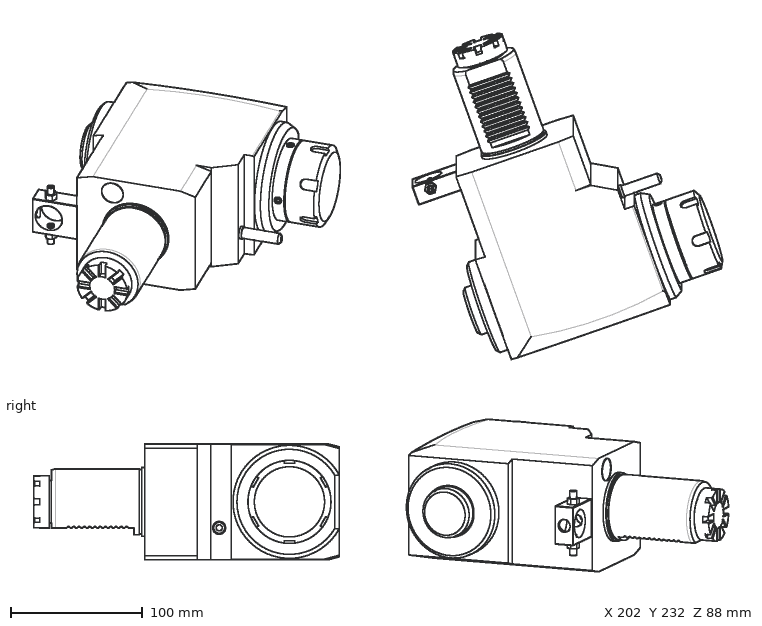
import cadquery as cq
import math


HEIGHT = 88.0
HALF_HEIGHT = HEIGHT / 2
BACK_Y = 147.8
SPINDLE_Y = 110.0
HEAD_FRONT_Y = 66.0
HEAD_LEFT_X = -55.0
HEAD_RIGHT_X = 73.0
BODY_LEFT_X = -47.0
SHOULDER_RIGHT_X = 65.5
SHOULDER_ANGLE = 30
BODY_RIGHT_X = 47.3
BODY_STEP_Y = 40.0
BEVEL_SLOPE = math.tan(math.radians(15))
LEFT_BEVEL_X = -34.5
HEAD_RIGHT_BEVEL_X = 71.5
BODY_RIGHT_BEVEL_X = 35.3
BACK_BEVEL_CENTRE_X = 18.5
BACK_BEVEL_RADIUS = 306.2
BACK_BEVEL_MIDDLE_Y = 139.7
CUT_MARGIN = 23.2

FLANGE_RADIUS = 43.0
FLANGE_STRAIGHT_END_X = 77.7
FLANGE_END_X = 83.5
FLANGE_END_RADIUS = 40.0
FLANGE_BACK_TAPER = 3.5
NECK_END_X = 92.8
NUT_START_X = 93.7
NUT_END_X = 119.2
NUT_RADIUS = 31.5
NUT_GROOVE_RADIUS = 25.3
NUT_CHAMFER_LENGTH = 2.8
NUT_CHAMFER_DEPTH = 4.9
NUT_SLOTS = 6
NUT_SLOT_WIDTH = 8.1
NUT_SLOT_START_X = 104.5
NUT_SLOT_FLOOR = 29.5
SET_SCREW_X = 88.0
SET_SCREW_RADIUS = 2.8
SET_SCREW_SOCKET_RADIUS = 1.5
SET_SCREW_RECESS = 0.7
SET_SCREW_DEPTH = 3.5

COVER_RADIUS = 36.5
COVER_FACE_X = -65.5
HUB_RADIUS = 19.0
HUB_FACE_X = -74.5
COVER_CHAMFER = 2.3
HUB_GROOVE_RADIUS = 20.0
HUB_GROOVE_DEPTH = 1.0

COLLAR_RADIUS = 26.2
COLLAR_LENGTH = 2.3
SHANK_RADIUS = 25.0
SHANK_LENGTH = 70.8
RELIEF_RADIUS = 24.5
RELIEF_END = 4.0
SHANK_CHAMFER_LENGTH = 2.8
SHANK_CHAMFER_DEPTH = 0.7
TIP_GROOVE_RADIUS = 16.2
TIP_GROOVE_LENGTH = 1.6
TIP_RADIUS = 20.0
TIP_END = 84.2
TIP_SLOTS = 8
TIP_SLOT_WIDTH = 4.6
TIP_SLOT_CHAMFER = 0.7
TIP_SLOT_DEPTH = 4.6
TIP_CORE_RADIUS = 10.0
FLAT_Z = -20.0
FLAT_START = 8.1
RACK_NOTCHES = 12
RACK_START = 13.7
RACK_LENGTH = 44.0
RACK_PITCH = RACK_LENGTH / (RACK_NOTCHES - 1)
RACK_NOTCH_WIDTH = 3.2
RACK_NOTCH_DEPTH = 1.5

RECESS_X = -18.8
RECESS_Z = 32.2
RECESS_RADIUS = 8.5
RECESS_DEPTH = 0.5

PIN_Y = 56.5
PIN_Z = -19.7
PIN_RADIUS = 4.2
PIN_END_X = 98.0
PIN_CHAMFER = 1.9
PIN_COLLAR_RADIUS = 4.9
PIN_COLLAR_LENGTH = 1.9

BRACKET_LEFT_X = -82.8
BRACKET_FRONT_Y = 1.0
BRACKET_BACK_Y = 16.0
BRACKET_HALF_HEIGHT = 14.8
BRACKET_CHAMFER = 0.5
BRACKET_BORE_X = -69.8
BRACKET_BORE_RADIUS = 10.7
SIDE_BORE_Y = 8.4
SIDE_BORE_RADIUS = 4.9
COOLANT_PASSAGE_RADIUS = 1.6
COOLANT_PASSAGE_DEPTH = 9.3
NIPPLE_Y = 6.3
NIPPLE_RADIUS = 2.5
NIPPLE_BORE_RADIUS = 1.2
NIPPLE_INNER_Z = 9.0
NIPPLE_OUTER_Z = 24.8
NIPPLE_NUT_FLATS = 8.0
NIPPLE_NUT_TOP_Z = 19.3


def x_rod(radius, start_x, end_x, y, z=0.0):
    """Cylinder along X."""
    return cq.Workplane("YZ", origin=(start_x, y, z)).circle(radius).extrude(end_x - start_x)


def z_rod(radius, x, y, start_z, end_z):
    """Cylinder along Z."""
    return cq.Workplane("XY", origin=(x, y, start_z)).circle(radius).extrude(end_z - start_z)


def turned_on_spindle(profile):
    """Revolve (x, radius) points about the spindle axis."""
    points = [(x, SPINDLE_Y + radius) for x, radius in profile]
    return cq.Workplane("XY").polyline(points).close().revolve(360, (0, SPINDLE_Y), (1, SPINDLE_Y))


def turned_on_shank(profile):
    """Revolve (radius, distance ahead of the front face) points about the shank axis."""
    points = [(radius, -distance) for radius, distance in profile]
    return cq.Workplane("XY").polyline(points).close().revolve(360, (0, 0), (0, 1))


def mirrored_in_z(body):
    return body.union(body.mirror("XY"))


def side_bevel(edge_x, side_x, start_y, end_y):
    """Wedge that slopes the top face down from edge_x to past side_x."""
    outer_x = side_x + math.copysign(CUT_MARGIN, side_x - edge_x)
    drop = abs(outer_x - edge_x) * BEVEL_SLOPE
    wedge = (
        cq.Workplane("XZ", origin=(0, end_y, 0))
        .polyline([(edge_x, HALF_HEIGHT), (outer_x, HALF_HEIGHT), (outer_x, HALF_HEIGHT - drop)])
        .close()
        .extrude(end_y - start_y)
    )
    return mirrored_in_z(wedge)


def back_bevel():
    """Conical ring that slopes the top face down towards the back."""
    outer_radius = BACK_BEVEL_RADIUS + 2 * CUT_MARGIN
    drop = (outer_radius - BACK_BEVEL_RADIUS) * BEVEL_SLOPE
    ring = (
        cq.Workplane("XZ")
        .polyline([
            (BACK_BEVEL_RADIUS, HALF_HEIGHT),
            (outer_radius, HALF_HEIGHT),
            (outer_radius, HALF_HEIGHT - drop),
        ])
        .close()
        .revolve(360, (0, 0), (0, 1))
        .translate((BACK_BEVEL_CENTRE_X, BACK_BEVEL_MIDDLE_Y - BACK_BEVEL_RADIUS, 0))
    )
    return mirrored_in_z(ring)


def housing():
    shoulder_rise = (SHOULDER_RIGHT_X - BODY_RIGHT_X) * math.tan(math.radians(SHOULDER_ANGLE))
    outline = [
        (BODY_LEFT_X, 0),
        (BODY_RIGHT_X, 0),
        (BODY_RIGHT_X, BODY_STEP_Y),
        (SHOULDER_RIGHT_X, BODY_STEP_Y + shoulder_rise),
        (SHOULDER_RIGHT_X, HEAD_FRONT_Y),
        (HEAD_RIGHT_X, HEAD_FRONT_Y),
        (HEAD_RIGHT_X, BACK_Y),
        (HEAD_LEFT_X, BACK_Y),
        (HEAD_LEFT_X, HEAD_FRONT_Y),
        (BODY_LEFT_X, HEAD_FRONT_Y),
    ]
    block = cq.Workplane("XY").polyline(outline).close().extrude(HALF_HEIGHT, both=True)
    block = block.cut(side_bevel(LEFT_BEVEL_X, HEAD_LEFT_X, 0, BACK_Y))
    block = block.cut(side_bevel(HEAD_RIGHT_BEVEL_X, HEAD_RIGHT_X, HEAD_FRONT_Y, BACK_Y))
    block = block.cut(side_bevel(BODY_RIGHT_BEVEL_X, BODY_RIGHT_X, 0, BODY_STEP_Y))
    block = block.cut(back_bevel())
    recess = (
        cq.Workplane("XZ", origin=(RECESS_X, RECESS_DEPTH, RECESS_Z))
        .circle(RECESS_RADIUS)
        .extrude(RECESS_DEPTH)
    )
    passage_end_x = BODY_LEFT_X + COOLANT_PASSAGE_DEPTH
    passage = x_rod(COOLANT_PASSAGE_RADIUS, BODY_LEFT_X, passage_end_x, SIDE_BORE_Y)
    return block.cut(recess).cut(passage)


def flange():
    """Tapered flange, trimmed flush with the back of the housing."""
    body = turned_on_spindle([
        (SHOULDER_RIGHT_X, 0),
        (SHOULDER_RIGHT_X, NUT_GROOVE_RADIUS),
        (HEAD_RIGHT_X, FLANGE_RADIUS),
        (FLANGE_STRAIGHT_END_X, FLANGE_RADIUS),
        (FLANGE_END_X, FLANGE_END_RADIUS),
        (FLANGE_END_X, 0),
    ])
    trim = (
        cq.Workplane("XY")
        .polyline([
            (SHOULDER_RIGHT_X, BACK_Y),
            (FLANGE_STRAIGHT_END_X, BACK_Y),
            (FLANGE_END_X, BACK_Y - FLANGE_BACK_TAPER),
            (FLANGE_END_X, BACK_Y + CUT_MARGIN),
            (SHOULDER_RIGHT_X, BACK_Y + CUT_MARGIN),
        ])
        .close()
        .extrude(FLANGE_RADIUS, both=True)
    )
    return body.cut(trim)


def collet_nut():
    nut = turned_on_spindle([
        (FLANGE_END_X, 0),
        (FLANGE_END_X, NUT_RADIUS),
        (NECK_END_X, NUT_RADIUS),
        (NECK_END_X, NUT_GROOVE_RADIUS),
        (NUT_START_X, NUT_GROOVE_RADIUS),
        (NUT_START_X, NUT_RADIUS),
        (NUT_END_X - NUT_CHAMFER_LENGTH, NUT_RADIUS),
        (NUT_END_X, NUT_RADIUS - NUT_CHAMFER_DEPTH),
        (NUT_END_X, 0),
    ])
    slot_length = 2 * (NUT_END_X - NUT_SLOT_START_X)
    slot = (
        cq.Workplane("XY", origin=(NUT_END_X, SPINDLE_Y, NUT_SLOT_FLOOR))
        .slot2D(slot_length, NUT_SLOT_WIDTH)
        .extrude(NUT_RADIUS)
    )
    for index in range(NUT_SLOTS):
        angle = index * 360 / NUT_SLOTS
        nut = nut.cut(slot.rotate((0, SPINDLE_Y, 0), (1, SPINDLE_Y, 0), angle))
    top_recess = set_screw_recess()
    front_recess = top_recess.rotate((0, SPINDLE_Y, 0), (1, SPINDLE_Y, 0), 90)
    return nut.cut(top_recess).cut(front_recess)


def set_screw_recess():
    """Sunken set screw with a socket, on top of the neck."""
    screw_top = NUT_RADIUS - SET_SCREW_RECESS
    recess = z_rod(SET_SCREW_RADIUS, SET_SCREW_X, SPINDLE_Y, screw_top, NUT_RADIUS)
    socket = z_rod(SET_SCREW_SOCKET_RADIUS, SET_SCREW_X, SPINDLE_Y, screw_top - SET_SCREW_DEPTH, screw_top)
    return recess.union(socket)


def bearing_cover():
    return turned_on_spindle([
        (HEAD_LEFT_X, 0),
        (HEAD_LEFT_X, COVER_RADIUS),
        (COVER_FACE_X + COVER_CHAMFER, COVER_RADIUS),
        (COVER_FACE_X, COVER_RADIUS - COVER_CHAMFER),
        (COVER_FACE_X, HUB_GROOVE_RADIUS),
        (COVER_FACE_X + HUB_GROOVE_DEPTH, HUB_GROOVE_RADIUS),
        (COVER_FACE_X + HUB_GROOVE_DEPTH, HUB_RADIUS),
        (HUB_FACE_X + COVER_CHAMFER, HUB_RADIUS),
        (HUB_FACE_X, HUB_RADIUS - COVER_CHAMFER),
        (HUB_FACE_X, 0),
    ])


def shank():
    body = turned_on_shank([
        (0, 0),
        (COLLAR_RADIUS, 0),
        (COLLAR_RADIUS, COLLAR_LENGTH),
        (RELIEF_RADIUS, COLLAR_LENGTH),
        (RELIEF_RADIUS, RELIEF_END),
        (SHANK_RADIUS, RELIEF_END),
        (SHANK_RADIUS, SHANK_LENGTH - SHANK_CHAMFER_LENGTH),
        (SHANK_RADIUS - SHANK_CHAMFER_DEPTH, SHANK_LENGTH),
        (0, SHANK_LENGTH),
    ])
    flat_length = SHANK_LENGTH - FLAT_START
    flat = cq.Workplane("XY").box(2 * SHANK_RADIUS, flat_length, SHANK_RADIUS, centered=(True, False, False))
    body = body.cut(flat.translate((0, -SHANK_LENGTH, FLAT_Z - SHANK_RADIUS)))
    notch = (
        cq.Workplane("YZ")
        .polyline([
            (-RACK_NOTCH_WIDTH / 2, FLAT_Z),
            (0, FLAT_Z + RACK_NOTCH_DEPTH),
            (RACK_NOTCH_WIDTH / 2, FLAT_Z),
        ])
        .close()
        .extrude(SHANK_RADIUS, both=True)
    )
    for index in range(RACK_NOTCHES):
        body = body.cut(notch.translate((0, -RACK_START - index * RACK_PITCH, 0)))
    return body


def drive_tip():
    """Drive end with chamfered radial slots and a solid core."""
    tip_start = SHANK_LENGTH + TIP_GROOVE_LENGTH
    tip = turned_on_shank([
        (0, SHANK_LENGTH),
        (TIP_GROOVE_RADIUS, SHANK_LENGTH),
        (TIP_GROOVE_RADIUS, tip_start),
        (TIP_RADIUS, tip_start),
        (TIP_RADIUS, TIP_END),
        (0, TIP_END),
    ])
    core = cq.Workplane("XZ", origin=(0, -SHANK_LENGTH, 0)).circle(TIP_CORE_RADIUS)
    core = core.extrude(TIP_END - SHANK_LENGTH)
    half_width = TIP_SLOT_WIDTH / 2
    slot = (
        cq.Workplane("XY")
        .polyline([
            (-half_width, TIP_SLOT_DEPTH - TIP_END),
            (half_width, TIP_SLOT_DEPTH - TIP_END),
            (half_width, TIP_SLOT_CHAMFER - TIP_END),
            (half_width + TIP_SLOT_CHAMFER, -TIP_END),
            (-half_width - TIP_SLOT_CHAMFER, -TIP_END),
            (-half_width, TIP_SLOT_CHAMFER - TIP_END),
        ])
        .close()
        .extrude(2 * TIP_RADIUS)
    )
    for index in range(TIP_SLOTS):
        tip = tip.cut(slot.rotate((0, 0, 0), (0, 1, 0), index * 360 / TIP_SLOTS))
    return tip.union(core)


def locating_pin():
    pin = x_rod(PIN_RADIUS, SHOULDER_RIGHT_X, PIN_END_X, PIN_Y, PIN_Z).faces(">X").chamfer(PIN_CHAMFER)
    collar = x_rod(PIN_COLLAR_RADIUS, SHOULDER_RIGHT_X, SHOULDER_RIGHT_X + PIN_COLLAR_LENGTH, PIN_Y, PIN_Z)
    return pin.union(collar)


def nipple():
    """Coolant nipple on the top of the bracket, reaching into its bore, and the bore through it."""
    tube = z_rod(NIPPLE_RADIUS, BRACKET_BORE_X, NIPPLE_Y, NIPPLE_INNER_Z, NIPPLE_OUTER_Z)
    nut_corners = NIPPLE_NUT_FLATS / math.cos(math.radians(30))
    nut = (
        cq.Workplane("XY", origin=(BRACKET_BORE_X, NIPPLE_Y, BRACKET_HALF_HEIGHT))
        .polygon(6, nut_corners)
        .extrude(NIPPLE_NUT_TOP_Z - BRACKET_HALF_HEIGHT)
    )
    bore = z_rod(NIPPLE_BORE_RADIUS, BRACKET_BORE_X, NIPPLE_Y, NIPPLE_INNER_Z, NIPPLE_OUTER_Z)
    return tube.union(nut), bore


def coolant_bracket():
    length = BODY_LEFT_X - BRACKET_LEFT_X
    width = BRACKET_BACK_Y - BRACKET_FRONT_Y
    block = (
        cq.Workplane("XY")
        .box(length, width, 2 * BRACKET_HALF_HEIGHT, centered=(False, False, True))
        .translate((BRACKET_LEFT_X, BRACKET_FRONT_Y, 0))
        .edges("<X or |X")
        .chamfer(BRACKET_CHAMFER)
    )
    bore = cq.Workplane("XZ", origin=(BRACKET_BORE_X, BRACKET_BACK_Y, 0)).circle(BRACKET_BORE_RADIUS)
    side_bore = x_rod(SIDE_BORE_RADIUS, BRACKET_LEFT_X, BODY_LEFT_X, SIDE_BORE_Y)
    block = block.cut(bore.extrude(width)).cut(side_bore)
    outer, inner = nipple()
    return block.union(mirrored_in_z(outer)).cut(mirrored_in_z(inner))


result = (
    housing()
    .union(flange())
    .union(collet_nut())
    .union(bearing_cover())
    .union(shank())
    .union(drive_tip())
    .union(locating_pin())
    .union(coolant_bracket())
)